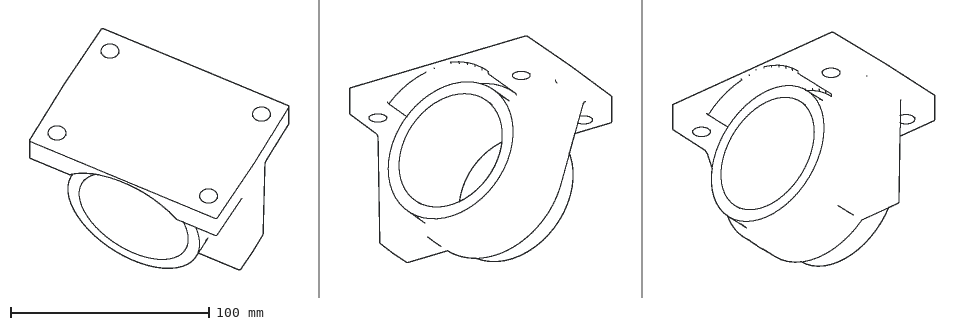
import cadquery as cq
import math

plate_length = 108.0
plate_width = 80.0
plate_thickness = 15.0
draft_angle = 1.0

height = 87.5
web_radius = 42.4
web_thickness = 26.0
collar_radius = 37.5
collar_length = 56.0
bore_radius = 31.0

block_bottom_z = -77.0
block_corner_radius = 1.1

flank_start_z = -15.1

hole_diameter = 9.0
hole_spacing_x = 86.1
hole_spacing_y = 58.0

edge_radius = 1.0

axis_z = web_radius - height
plate_bottom_z = -plate_thickness
half_length = plate_length / 2
half_width = plate_width / 2
half_web = web_thickness / 2
draft_slope = math.tan(math.radians(draft_angle))
tolerance = 0.01


def y_cylinder(radius, length):
    """Cylinder on the bore axis, centred on the mid-plane."""
    return (
        cq.Workplane("XZ", origin=(0, 0, axis_z))
        .circle(radius)
        .extrude(length / 2, both=True)
    )


def fillet_edges(body, is_wanted, radius):
    """Round the edges whose bounding box passes the given test."""
    return body.edges().filter(lambda edge: is_wanted(edge.BoundingBox())).fillet(radius)


def make_plate():
    """Plain plate with an arched clearance around the housing."""
    plate = cq.Workplane("XY").rect(plate_length, plate_width).extrude(-plate_thickness)
    return plate.cut(y_cylinder(web_radius, plate_width))


def is_block_corner(box):
    """Lower outer corner of the web's squared-off side."""
    return box.zmax < block_bottom_z + edge_radius and box.xmin > half_length - 2 * edge_radius


def make_web():
    """Web around the bore: sloped on -X, round below, squared off on +X, drafted like the plate."""
    rise = flank_start_z - axis_z
    reach = math.hypot(half_length, rise)
    tangent_angle = math.atan2(rise, -half_length) + math.acos(web_radius / reach)
    tangent_x = web_radius * math.cos(tangent_angle)
    tangent_z = axis_z + web_radius * math.sin(tangent_angle)
    side_slope = (tangent_x + half_length) / (flank_start_z - tangent_z)

    block_corner_x = half_length - (flank_start_z - block_bottom_z) * draft_slope
    block_start_x = math.sqrt(web_radius**2 - (block_bottom_z - axis_z) ** 2)

    half = (
        cq.Workplane("XZ")
        .moveTo(-half_length + flank_start_z * side_slope, 0)
        .lineTo(tangent_x, tangent_z)
        .threePointArc((0, -height), (block_start_x, block_bottom_z))
        .lineTo(block_corner_x, block_bottom_z)
        .lineTo(half_length - flank_start_z * draft_slope, 0)
        .close()
        .extrude(half_web, taper=draft_angle)
    )
    half = fillet_edges(half, is_block_corner, block_corner_radius)
    return half.union(half.mirror("XZ"))


def make_draft_envelope():
    """Tall prism, widest at the mid-plane, that gives the ends their draft."""
    narrow_end_x = half_length - half_width * draft_slope
    outline = [
        (half_length, 0),
        (narrow_end_x, half_width),
        (-narrow_end_x, half_width),
        (-half_length, 0),
        (-narrow_end_x, -half_width),
        (narrow_end_x, -half_width),
    ]
    return cq.Workplane("XY").polyline(outline).close().extrude(-height)


def lies_at_y(box, distance):
    """True for an edge lying wholly in one of the planes Y = +distance or Y = -distance."""
    return box.ylen < tolerance and abs(abs(box.center.y) - distance) < tolerance


def is_plate_lower_edge(box):
    """Lower outline of the plate's long sides; the fillet follows it around onto the ends."""
    return lies_at_y(box, half_width) and abs(box.zmin - plate_bottom_z) < tolerance


def is_inside_corner(box):
    """Where the plate's underside and arch meet the faces of the web."""
    is_long = box.xlen > edge_radius
    return lies_at_y(box, half_web) and is_long and box.zmin > plate_bottom_z - tolerance


def is_web_rim(box):
    """Outline of the web's faces below the plate."""
    return lies_at_y(box, half_web) and box.zmin < plate_bottom_z - 2 * edge_radius


def is_collar_root(box):
    """Circle where a collar meets the web."""
    return lies_at_y(box, half_web) and abs(box.xlen - 2 * collar_radius) < tolerance


result = make_plate().union(make_web()).intersect(make_draft_envelope())
result = result.edges("|Z and (>Y or <Y)").fillet(edge_radius)
for edge_test in (is_plate_lower_edge, is_inside_corner, is_web_rim):
    result = fillet_edges(result, edge_test, edge_radius)

result = result.union(y_cylinder(collar_radius, collar_length))
result = fillet_edges(result, is_collar_root, edge_radius)
result = result.cut(y_cylinder(bore_radius, collar_length))

bolt_holes = (
    cq.Workplane("XY")
    .rarray(hole_spacing_x, hole_spacing_y, 2, 2)
    .circle(hole_diameter / 2)
    .extrude(-plate_thickness)
)
result = result.cut(bolt_holes)